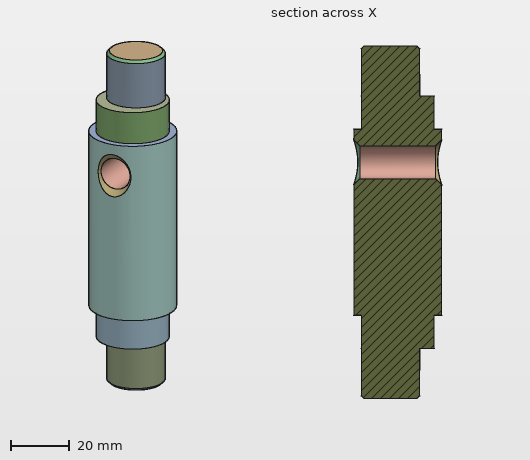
import cadquery as cq

total_length = 120.0
body_diameter = 30.0
collar_diameter = 25.0
journal_diameter = 20.0
journal_length = 17.0
collar_length = 11.3
journal_chamfer = 1.0

journal_offset = (collar_diameter - journal_diameter) / 2

hole_diameter = 11.0
countersink_diameter = 15.2
hole_height = 80.4

collar_bottom = journal_length
collar_top = total_length - journal_length
body_bottom = collar_bottom + collar_length
body_length = total_length - 2 * body_bottom


def cylinder(diameter, bottom, length, y=0.0):
    """Vertical cylinder starting at the given height."""
    return cq.Workplane("XY", origin=(0, y, bottom)).circle(diameter / 2).extrude(length)


def journal(bottom, end_face):
    """Eccentric end journal with its free end chamfered."""
    pin = cylinder(journal_diameter, bottom, journal_length, journal_offset)
    return pin.faces(end_face).edges().chamfer(journal_chamfer)


def cross_hole():
    """Cutter for the through hole and its two conical mouths."""
    half_width = body_diameter / 2
    cutter = (
        cq.Workplane("XZ", origin=(0, 0, hole_height))
        .circle(hole_diameter / 2)
        .extrude(half_width, both=True)
    )
    mouth_radius = countersink_diameter / 2
    for side in (-1, 1):
        cone = cq.Solid.makeCone(
            mouth_radius, 0, mouth_radius,
            pnt=cq.Vector(0, side * half_width, hole_height),
            dir=cq.Vector(0, -side, 0),
        )
        cutter = cutter.union(cq.Workplane(cone))
    return cutter


collared_body = cylinder(collar_diameter, collar_bottom, collar_top - collar_bottom)
shaft = collared_body.union(cylinder(body_diameter, body_bottom, body_length))
shaft = shaft.union(journal(0, "<Z")).union(journal(collar_top, ">Z"))

result = shaft.cut(cross_hole())